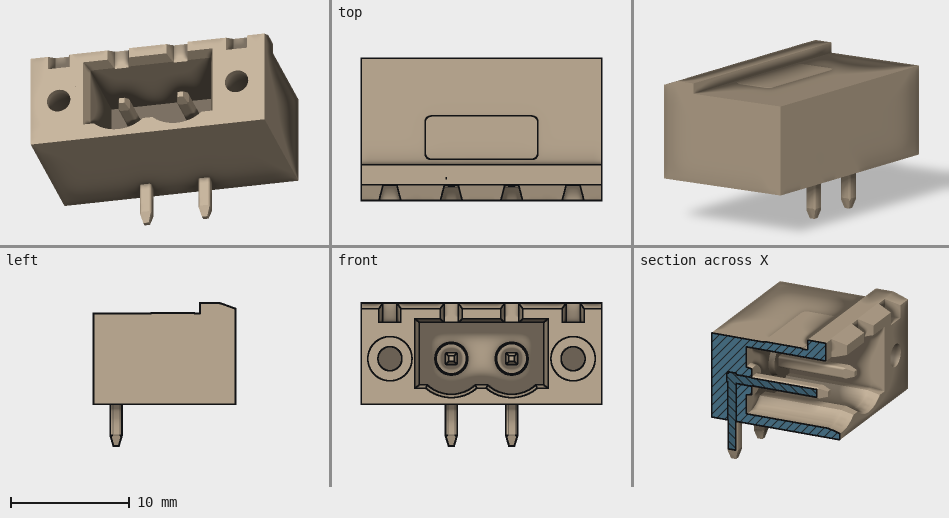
import cadquery as cq


HOUSING_WIDTH = 20.27
HOUSING_DEPTH = 12.0
HOUSING_HEIGHT = 8.55
DECK_HEIGHT = 7.66
RIM_DEPTH = 3.02
RIM_BEVEL_DEPTH = 1.35
RIM_BEVEL_DROP = 0.49

PIN_PITCH = 5.09
PIN_XS = (-PIN_PITCH / 2, PIN_PITCH / 2)
INSERT_SPACING = 15.43
INSERT_XS = (-INSERT_SPACING / 2, INSERT_SPACING / 2)
AXIS_HEIGHT = 3.85

CAVITY_WIDTH = 10.48
CAVITY_FLOOR = 1.65
CAVITY_ROOF = 6.91
CAVITY_DEPTH = 8.72
SCALLOP_RADIUS = 3.0
LEAD_IN_DEPTH = 1.11
LEAD_IN_SIDE = 0.36
LEAD_IN_END = 0.28
SCALLOP_TOP = 2.03

NOTCH_FRONT_WIDTH = 1.85
NOTCH_BACK_WIDTH = 1.18
NOTCH_DEPTH = 1.3

COLLAR_BASE_RADIUS = 1.38
COLLAR_TIP_RADIUS = 1.28
COLLAR_HEIGHT = 0.5

LABEL_WIDTH = 9.49
LABEL_LENGTH = 3.65
LABEL_FRONT = 3.49
LABEL_THICKNESS = 0.06
LABEL_CORNER = 0.5

PIN_SIZE = 1.01
PIN_EDGE_RADIUS = 0.2
PIN_END_SIZE = 0.47
PIN_TAPER_LENGTH = 0.93
PIN_FRONT = 1.24
PIN_LEG_Y = 10.07
PIN_DROP = 3.5

INSERT_RADIUS = 1.86
INSERT_BORE_RADIUS = 1.01
INSERT_LENGTH = 6.08


def cylinder(radius, length, x):
    """Cylinder on the contact axis height, running from the mating face toward the back."""
    return cq.Workplane("XZ").center(x, AXIS_HEIGHT).circle(radius).extrude(-length)


def cone(front_radius, back_radius, length, x, y_start):
    """Truncated cone on the contact axis height, running toward the back from y_start."""
    return cq.Workplane(
        cq.Solid.makeCone(
            front_radius,
            back_radius,
            length,
            pnt=cq.Vector(x, y_start, AXIS_HEIGHT),
            dir=cq.Vector(0, 1, 0),
        )
    )


def housing_block():
    """Block with a lower deck behind a taller, bevelled front rim."""
    bevel_z = HOUSING_HEIGHT - RIM_BEVEL_DROP
    profile = [
        (0, 0),
        (HOUSING_DEPTH, 0),
        (HOUSING_DEPTH, DECK_HEIGHT),
        (RIM_DEPTH, DECK_HEIGHT),
        (RIM_DEPTH, HOUSING_HEIGHT),
        (RIM_BEVEL_DEPTH, HOUSING_HEIGHT),
        (0, bevel_z),
    ]
    return cq.Workplane("YZ").polyline(profile).close().extrude(HOUSING_WIDTH / 2, both=True)


def label_plate():
    """Thin plate with rounded corners on the deck."""
    return (
        cq.Workplane("XY")
        .workplane(offset=DECK_HEIGHT)
        .center(0, LABEL_FRONT + LABEL_LENGTH / 2)
        .rect(LABEL_WIDTH, LABEL_LENGTH)
        .extrude(LABEL_THICKNESS)
        .edges("|Z")
        .fillet(LABEL_CORNER)
    )


def cavity():
    """Plug cavity with a scalloped floor and a tapered mouth, less the collars at its back."""
    middle = (CAVITY_FLOOR + CAVITY_ROOF) / 2
    height = CAVITY_ROOF - CAVITY_FLOOR
    room = (
        cq.Workplane("XZ")
        .center(0, middle)
        .rect(CAVITY_WIDTH, height)
        .extrude(-CAVITY_DEPTH)
    )
    mouth = (
        cq.Workplane("XZ")
        .center(0, middle)
        .rect(CAVITY_WIDTH + 2 * LEAD_IN_SIDE, height + 2 * LEAD_IN_END)
        .workplane(offset=-LEAD_IN_DEPTH)
        .rect(CAVITY_WIDTH, height)
        .loft()
    )
    shape = room.union(mouth)
    below = cq.Workplane("XY").box(
        HOUSING_WIDTH, HOUSING_DEPTH, SCALLOP_TOP, centered=(True, False, False)
    )
    for x in PIN_XS:
        flare = cone(SCALLOP_RADIUS + LEAD_IN_END, SCALLOP_RADIUS, LEAD_IN_DEPTH, x, 0)
        scallop = cylinder(SCALLOP_RADIUS, CAVITY_DEPTH, x).union(flare)
        shape = shape.union(scallop.intersect(below))
    for x in PIN_XS:
        collar_y = CAVITY_DEPTH - COLLAR_HEIGHT
        shape = shape.cut(cone(COLLAR_TIP_RADIUS, COLLAR_BASE_RADIUS, COLLAR_HEIGHT, x, collar_y))
    return shape


def notch(x):
    """Coding notch: wide at the mating face, narrower at its back."""
    outline = [
        (x - NOTCH_FRONT_WIDTH / 2, 0),
        (x + NOTCH_FRONT_WIDTH / 2, 0),
        (x + NOTCH_BACK_WIDTH / 2, NOTCH_DEPTH),
        (x - NOTCH_BACK_WIDTH / 2, NOTCH_DEPTH),
    ]
    return (
        cq.Workplane("XY")
        .workplane(offset=CAVITY_ROOF)
        .polyline(outline)
        .close()
        .extrude(HOUSING_HEIGHT - CAVITY_ROOF)
    )


def pin_bar(length):
    """Square bar along +Z with rounded edges and a pyramid tip."""
    shank_length = length - PIN_TAPER_LENGTH
    rounded = (
        cq.Workplane("XY").rect(PIN_SIZE, PIN_SIZE).extrude(length).edges("|Z").fillet(PIN_EDGE_RADIUS)
    )
    shank = cq.Workplane("XY").rect(PIN_SIZE, PIN_SIZE).extrude(shank_length)
    tip = (
        cq.Workplane("XY")
        .workplane(offset=shank_length)
        .rect(PIN_SIZE, PIN_SIZE)
        .workplane(offset=PIN_TAPER_LENGTH)
        .rect(PIN_END_SIZE, PIN_END_SIZE)
        .loft()
    )
    return rounded.intersect(shank.union(tip))


def make_pin(x):
    """Angled contact: a mating leg toward the front and a solder leg downward."""
    back = PIN_LEG_Y + PIN_SIZE / 2
    top = AXIS_HEIGHT + PIN_SIZE / 2
    mating_leg = (
        pin_bar(back - PIN_FRONT)
        .rotate((0, 0, 0), (1, 0, 0), 90)
        .translate((x, back, AXIS_HEIGHT))
    )
    solder_leg = (
        pin_bar(top + PIN_DROP)
        .rotate((0, 0, 0), (1, 0, 0), 180)
        .translate((x, PIN_LEG_Y, top))
    )
    return mating_leg.union(solder_leg)


def make_insert(x):
    """Sleeve set flush in the mating face."""
    return cylinder(INSERT_RADIUS, INSERT_LENGTH, x).cut(cylinder(INSERT_BORE_RADIUS, INSERT_LENGTH, x))


def make_housing(pins):
    """Housing with its cavity, coding notches, insert pockets and pin passages."""
    body = housing_block().union(label_plate()).cut(cavity())
    for x in PIN_XS + INSERT_XS:
        body = body.cut(notch(x))
    for x in INSERT_XS:
        body = body.cut(cylinder(INSERT_RADIUS, INSERT_LENGTH, x))
    for pin in pins:
        body = body.cut(pin)
    return body


pins = [make_pin(x) for x in PIN_XS]
inserts = [make_insert(x) for x in INSERT_XS]
housing = make_housing(pins)

result = cq.Compound.makeCompound(
    [body.solids().val() for body in [housing, *pins, *inserts]]
)